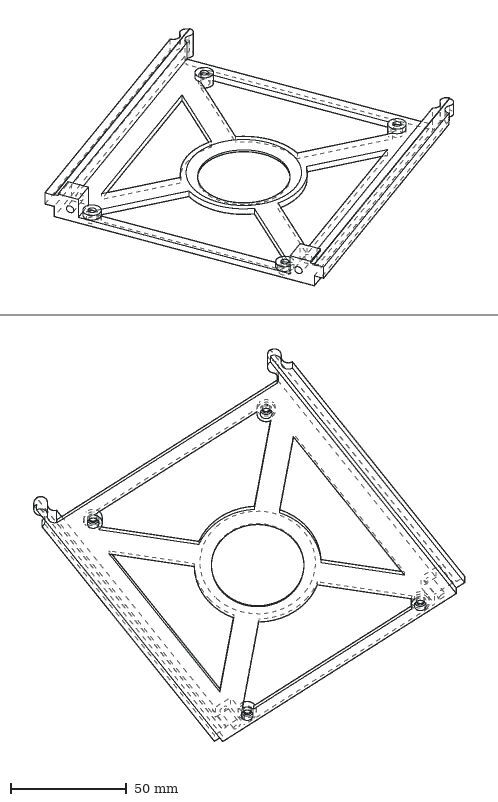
import cadquery as cq
frame_length = 128.5
frame_half_width = 62.1
floor_thickness = 3.0
window_half_width = 49.0
bar_width_back = 6.3
bar_width_front = 5.2

ring_center_y = 61.0
ring_outer_diameter = 55.0
ring_cone_diameter = 50.0
ring_bore_diameter = 40.0
ring_lip_thickness = 1.0
spoke_width = 11.0
spoke_angle = 45.0
spoke_center_y = 61.7

rail_outer_x = 66.55
rail_inner_x = 58.6
ledge_bottom_z = 5.3
ledge_top_z = 11.25
rail_top_z = 11.6

knob_radius = 3.0
overall_length = 138.65

block_outer_x = 60.3
block_inner_x = 50.55
block_length = 10.3
block_top_z = 12.45
block_hole_diameter = 3.5
block_hole_x = 54.5
block_hole_z = 6.1

boss_diameter = 8.0
boss_hole_diameter = 3.5
boss_recess_diameter = 5.0
boss_recess_depth = 4.0
boss_top_z = 5.4
boss_x = 46.0
boss_front_y = 4.3
boss_back_y = 119.2

knob_center_y = overall_length - knob_radius
knob_reach = knob_center_y - frame_length

neck_arc_offset = rail_outer_x - frame_half_width
neck_arc_radius = (neck_arc_offset**2 + knob_reach**2 - knob_radius**2) / (2 * (knob_radius + knob_reach))
neck_arc_y = frame_length + neck_arc_radius
tangent_y = neck_arc_y + (knob_center_y - neck_arc_y) * neck_arc_radius / (knob_radius + neck_arc_radius)


def box_between(x0, x1, y0, y1, z0, z1):
    """Box spanning the given coordinate ranges."""
    return cq.Workplane("XY").box(x1 - x0, y1 - y0, z1 - z0, centered=False).translate((x0, y0, z0))


def cylinder(x, y, diameter, height):
    """Upright cylinder standing on Z = 0."""
    return cq.Workplane("XY").center(x, y).circle(diameter / 2).extrude(height)


def make_floor():
    """Open rectangular frame with four diagonal spokes meeting at a solid disc."""
    outline = box_between(-frame_half_width, frame_half_width, 0, frame_length, 0, floor_thickness)
    window = box_between(
        -window_half_width, window_half_width,
        bar_width_front, frame_length - bar_width_back,
        0, floor_thickness,
    )
    spoke_length = 2 * frame_length
    spokes = cylinder(0, ring_center_y, ring_outer_diameter, floor_thickness)
    for angle in (spoke_angle, -spoke_angle):
        spoke = (
            cq.Workplane("XY")
            .box(spoke_length, spoke_width, floor_thickness, centered=(True, True, False))
            .rotate((0, 0, 0), (0, 0, 1), angle)
            .translate((0, spoke_center_y, 0))
        )
        spokes = spokes.union(spoke)
    return outline.cut(window.cut(spokes))


def make_ring_opening():
    """Funnel that narrows from the ring's top face to its bore."""
    bore_radius = ring_bore_diameter / 2
    return (
        cq.Workplane("XZ")
        .polyline([
            (0, 0),
            (bore_radius, 0),
            (bore_radius, ring_lip_thickness),
            (ring_cone_diameter / 2, floor_thickness),
            (0, floor_thickness),
        ])
        .close()
        .revolve(360, (0, 0, 0), (0, 1, 0))
        .translate((0, ring_center_y, 0))
    )


def make_knob_outline():
    """Tall prism with the plan shape of the rail end: a round knob on a neck with concave sides."""
    neck = box_between(
        -frame_half_width - neck_arc_offset, -frame_half_width + neck_arc_offset,
        frame_length, tangent_y,
        0, block_top_z,
    )
    for side in (-1, 1):
        arc_x = -frame_half_width + side * neck_arc_offset
        neck = neck.cut(cylinder(arc_x, neck_arc_y, 2 * neck_arc_radius, block_top_z))
    return neck.union(cylinder(-frame_half_width, knob_center_y, 2 * knob_radius, block_top_z))


def make_rail():
    """Left rail: a wall with a lower outward ledge, its back end trimmed to the knob."""
    profile = (
        cq.Workplane("XZ")
        .polyline([
            (-frame_half_width, 0),
            (-rail_inner_x, 0),
            (-rail_inner_x, rail_top_z),
            (-frame_half_width, rail_top_z),
            (-frame_half_width, ledge_top_z),
            (-rail_outer_x, ledge_top_z),
            (-rail_outer_x, ledge_bottom_z),
            (-frame_half_width, ledge_bottom_z),
        ])
        .close()
        .extrude(-overall_length)
    )
    straight = box_between(-rail_outer_x, -rail_inner_x, 0, frame_length, 0, block_top_z)
    return profile.intersect(straight.union(make_knob_outline()))


def make_screw_block():
    """Block on the inner side of the left rail at its front end."""
    return box_between(-block_outer_x, -block_inner_x, 0, block_length, 0, block_top_z)


def make_block_hole():
    """Screw hole running along Y through the left block."""
    return (
        cq.Workplane("XZ")
        .center(-block_hole_x, block_hole_z)
        .circle(block_hole_diameter / 2)
        .extrude(-block_length)
    )


side_assembly = make_rail().union(make_screw_block()).cut(make_block_hole())

result = make_floor().union(side_assembly).union(side_assembly.mirror("YZ"))
result = result.cut(make_ring_opening())

boss_positions = [(x, y) for x in (-boss_x, boss_x) for y in (boss_front_y, boss_back_y)]
for x, y in boss_positions:
    result = result.union(cylinder(x, y, boss_diameter, boss_top_z))
for x, y in boss_positions:
    result = result.cut(cylinder(x, y, boss_hole_diameter, boss_top_z))
    result = result.cut(cylinder(x, y, boss_recess_diameter, boss_recess_depth))